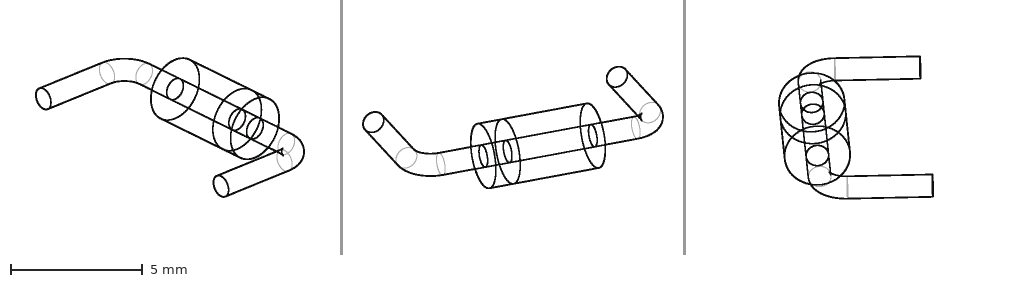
import cadquery as cq
import math

overall_length = 10.86
overall_depth = 5.5

body_diameter = 2.5
body_length = 4.5
band_length = 1.0

wire_diameter = 0.86
bend_radius = 1.0

body_start = -body_length / 2
band_start = body_length / 2 - band_length
leg_x = (overall_length - wire_diameter) / 2
leg_end_y = body_diameter / 2 - overall_depth


def make_sleeve(start_x, length):
    """Cylinder along X, bored through for the wire."""
    return (
        cq.Workplane("YZ", origin=(start_x, 0, 0))
        .circle(body_diameter / 2)
        .circle(wire_diameter / 2)
        .extrude(length)
    )


def make_wire():
    """Round wire running through the body, with both ends bent toward -Y."""
    bend_start_x = leg_x - bend_radius
    arc_mid_x = bend_start_x + bend_radius * math.sin(math.pi / 4)
    arc_mid_y = bend_radius * (math.cos(math.pi / 4) - 1)
    centre_line = (
        cq.Workplane("XY")
        .moveTo(-leg_x, leg_end_y)
        .lineTo(-leg_x, -bend_radius)
        .threePointArc((-arc_mid_x, arc_mid_y), (-bend_start_x, 0))
        .lineTo(bend_start_x, 0)
        .threePointArc((arc_mid_x, arc_mid_y), (leg_x, -bend_radius))
        .lineTo(leg_x, leg_end_y)
    )
    return (
        cq.Workplane("XZ", origin=(-leg_x, leg_end_y, 0))
        .circle(wire_diameter / 2)
        .sweep(centre_line)
    )


body = make_sleeve(body_start, body_length - band_length)
band = make_sleeve(band_start, band_length)
wire = make_wire()

result = cq.Compound.makeCompound([body.val(), band.val(), wire.val()])